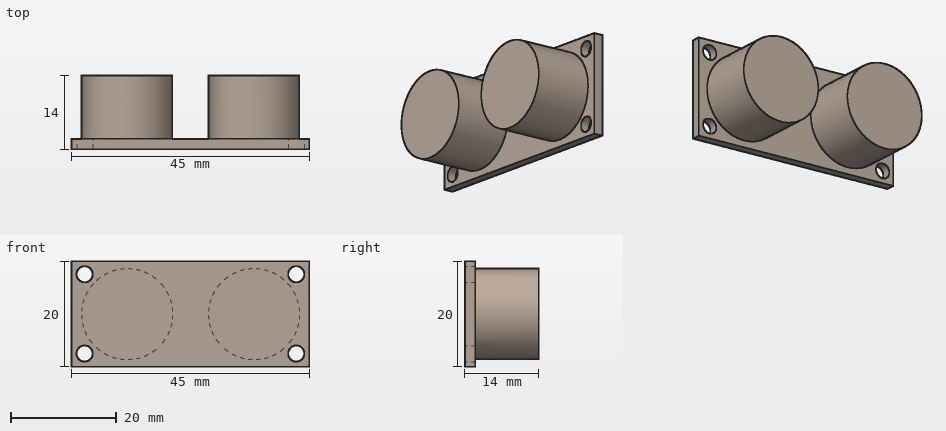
import cadquery as cq

plate_length = 45.0
plate_height = 20.0
plate_thickness = 2.0

total_depth = 14.0
cylinder_diameter = 17.25
cylinder_spacing = 24.0
cylinder_length = total_depth - plate_thickness

hole_diameter = 3.0
hole_spacing_x = 40.0
hole_spacing_z = 15.0

plate = cq.Workplane("XY").box(
    plate_length, plate_thickness, plate_height, centered=(True, False, True)
)

plate = (
    plate.faces("<Y")
    .workplane(centerOption="CenterOfBoundBox")
    .rect(hole_spacing_x, hole_spacing_z, forConstruction=True)
    .vertices()
    .hole(hole_diameter)
)

cylinders = (
    plate.faces(">Y")
    .workplane(centerOption="CenterOfBoundBox")
    .pushPoints([(-cylinder_spacing / 2, 0), (cylinder_spacing / 2, 0)])
    .circle(cylinder_diameter / 2)
    .extrude(cylinder_length, combine=False)
)

result = plate.union(cylinders)